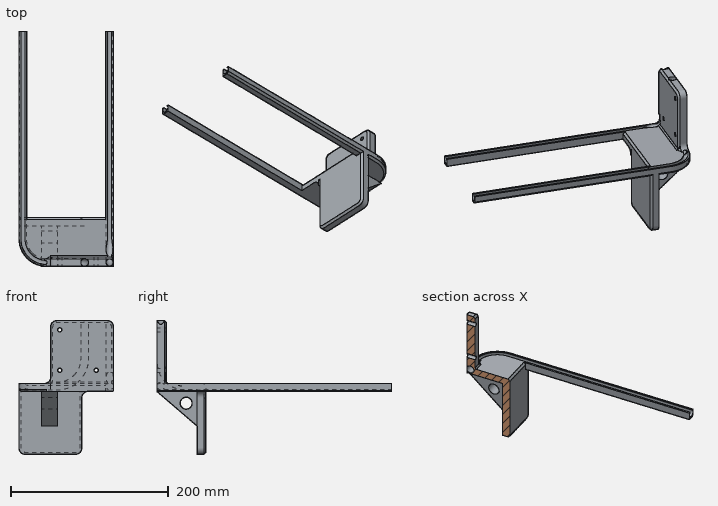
import cadquery as cq
import math

width = 120.0
length = 298.0
base_height = 10.0
rail_width = 10.0
base_depth = 62.3
bend_radius = 35.2
edge_chamfer = 2.7
right_edge_chamfer = 1.2

plate_size = 80.0
upright_thickness = 12.2
upright_foot_chamfer = 1.8
hanging_thickness = 11.0
corner_radius = 8.0

gusset_left = 29.0
gusset_width = 20.0
gusset_drop = 44.0
gusset_hole_diameter = 15.0
gusset_hole_y = 37.2
gusset_hole_z = -15.0

channel_radius = 4.5
passage_radius = 4.92
channel_inset = 5.0
channel_z = 6.5
passage_start_x = 40.2
passage_bend_start_x = 48.3

screw_diameter = 5.0
screw_left = 52.0
screw_right = 98.0
screw_low = 26.8
screw_high = 78.0

plate_top = base_height + plate_size
upright_left = width - plate_size
channel_bend = bend_radius - channel_inset
right_channel_x = width - channel_inset
quarter_point = math.sqrt(0.5)


def box(x0, y0, z0, x1, y1, z1):
    """Box between two opposite corners."""
    return cq.Workplane().box(x1 - x0, y1 - y0, z1 - z0, centered=False).translate((x0, y0, z0))


def corner_web(x, z, x_direction, z_direction, y, thickness):
    """Concave fillet filling the corner at (x, z) towards the given directions."""
    x_end = x + x_direction * corner_radius
    z_end = z + z_direction * corner_radius
    x_mid = x_end - x_direction * corner_radius * quarter_point
    z_mid = z_end - z_direction * corner_radius * quarter_point
    profile = (
        cq.Workplane("XZ", origin=(0, y, 0))
        .moveTo(x, z)
        .lineTo(x_end, z)
        .threePointArc((x_mid, z_mid), (x, z_end))
        .close()
    )
    return profile.extrude(-thickness)


def make_base():
    """Front deck with a rounded left corner and two rails running back."""
    base = box(0, 0, 0, width, length, base_height)
    base = base.edges("|Z and <X and <Y").fillet(bend_radius)
    selector = cq.selectors.NearestToPointSelector
    base = base.edges(selector((0, length / 2, 0))).chamfer(edge_chamfer)
    base = base.edges(">X and <Z").chamfer(right_edge_chamfer)
    gap = box(rail_width, base_depth, 0, width - rail_width, length, base_height)
    deck_bevel = (
        cq.Workplane("YZ", origin=(rail_width, 0, 0))
        .moveTo(base_depth, base_height)
        .lineTo(base_depth - edge_chamfer, base_height)
        .lineTo(base_depth, base_height - edge_chamfer)
        .close()
        .extrude(width - 2 * rail_width)
    )
    return base.cut(gap).cut(deck_bevel)


def make_upright():
    """Upright plate on the right, bevelled around its back face, with a bevelled foot."""
    plate = box(upright_left, 0, 0, width, upright_thickness, plate_top)
    plate = plate.edges("|Y and >Z").fillet(corner_radius)
    plate = plate.edges("|Y and >X and <Z").chamfer(right_edge_chamfer)
    plate = plate.faces(">Y").edges("not <Z").chamfer(edge_chamfer)
    foot = (
        cq.Workplane("YZ", origin=(upright_left, 0, 0))
        .moveTo(0, base_height)
        .lineTo(upright_thickness + upright_foot_chamfer, base_height)
        .lineTo(upright_thickness, base_height + upright_foot_chamfer)
        .lineTo(0, base_height + upright_foot_chamfer)
        .close()
        .extrude(plate_size)
    )
    web = corner_web(upright_left, base_height, -1, 1, 0, upright_thickness)
    sill = box(bend_radius, 0, 0, upright_left, edge_chamfer, edge_chamfer)
    return plate.union(foot).union(web.cut(make_web_bevel())).union(sill)


def make_web_bevel():
    """Conical cutter that carries the back bevel of the upright around its corner web."""
    outer_radius = corner_radius + edge_chamfer
    cone = cq.Solid.makeCone(
        corner_radius,
        outer_radius,
        edge_chamfer,
        cq.Vector(
            upright_left - corner_radius,
            upright_thickness - edge_chamfer,
            base_height + corner_radius,
        ),
        cq.Vector(0, 1, 0),
    )
    return cq.Workplane(cone)


def make_hanging_plate():
    """Plate hanging below the back of the deck, bevelled around its back face."""
    front = base_depth - hanging_thickness
    plate = box(0, front, -plate_size, plate_size, base_depth, base_height - edge_chamfer)
    plate = plate.edges("|Y and <Z").fillet(corner_radius)
    plate = plate.faces(">Y").edges("not >Z").chamfer(edge_chamfer)
    web = corner_web(plate_size, 0, 1, -1, front, hanging_thickness)
    return plate.union(web)


def make_gusset():
    """Triangular brace from the front edge to the hanging plate, with a cross hole."""
    back = base_depth - hanging_thickness
    brace = (
        cq.Workplane("YZ", origin=(gusset_left, 0, 0))
        .polyline([(0, 0), (back, 0), (back, -gusset_drop)])
        .close()
        .extrude(gusset_width)
    )
    hole = (
        cq.Workplane("YZ", origin=(gusset_left, 0, 0))
        .center(gusset_hole_y, gusset_hole_z)
        .circle(gusset_hole_diameter / 2)
        .extrude(gusset_width)
    )
    return brace.cut(hole)


def make_left_channel():
    """Open groove along the left rail and around the front bend."""
    bend_mid = channel_inset + channel_bend * (1 - quarter_point)
    path = (
        cq.Workplane("XY", origin=(0, 0, channel_z))
        .moveTo(channel_inset, length)
        .lineTo(channel_inset, bend_radius)
        .threePointArc((bend_mid, bend_mid), (bend_radius, channel_inset))
        .lineTo(passage_start_x, channel_inset)
    )
    start = cq.Workplane("XZ", origin=(channel_inset, length, channel_z))
    return start.circle(channel_radius).sweep(path)


def make_right_channel():
    """Groove along the right rail that curves up through the upright plate."""
    mid_y = channel_inset + channel_bend * (1 - quarter_point)
    mid_z = channel_z + channel_bend * (1 - quarter_point)
    path = (
        cq.Workplane("YZ", origin=(right_channel_x, 0, 0))
        .moveTo(length, channel_z)
        .lineTo(bend_radius, channel_z)
        .threePointArc((mid_y, mid_z), (channel_inset, channel_z + channel_bend))
        .lineTo(channel_inset, plate_top)
    )
    start = cq.Workplane("XZ", origin=(right_channel_x, length, channel_z))
    return start.circle(channel_radius).sweep(path)


def make_passage():
    """Passage inside the upright plate, from the left channel up to the top edge."""
    mid_x = passage_bend_start_x + bend_radius * quarter_point
    mid_z = channel_z + bend_radius * (1 - quarter_point)
    bend_end = (passage_bend_start_x + bend_radius, channel_z + bend_radius)
    path = (
        cq.Workplane("XZ", origin=(0, channel_inset, 0))
        .moveTo(passage_start_x, channel_z)
        .lineTo(passage_bend_start_x, channel_z)
        .threePointArc((mid_x, mid_z), bend_end)
        .lineTo(bend_end[0], plate_top)
    )
    start = cq.Workplane("YZ", origin=(passage_start_x, channel_inset, channel_z))
    return start.circle(passage_radius).sweep(path)


def make_screw_holes():
    """Three screw holes through the upright plate."""
    centres = [(screw_left, screw_low), (screw_right, screw_low), (screw_left, screw_high)]
    holes = cq.Workplane("XZ").pushPoints(centres).circle(screw_diameter / 2)
    return holes.extrude(-upright_thickness)


body = make_base()
for addition in (make_upright(), make_hanging_plate(), make_gusset()):
    body = body.union(addition)
for cutter in (make_left_channel(), make_right_channel(), make_passage(), make_screw_holes()):
    body = body.cut(cutter)

result = body